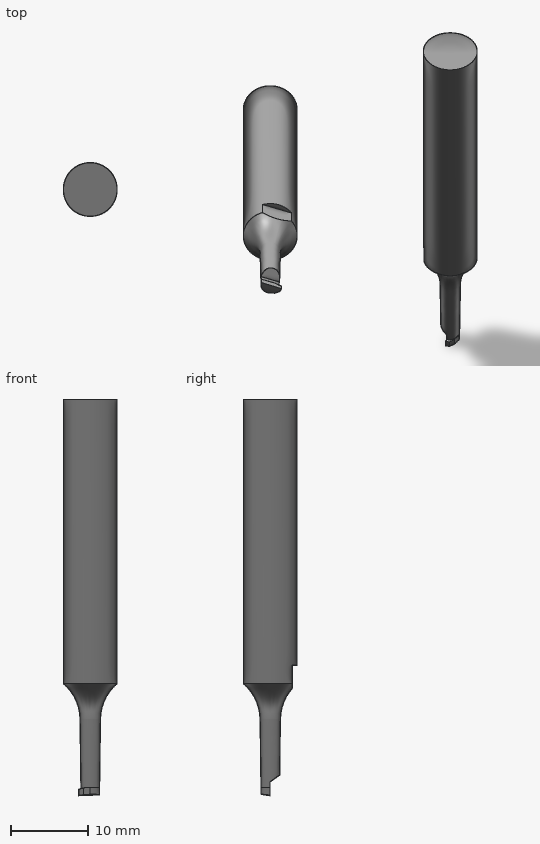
import cadquery as cq
import math

total_length = 51.3
shank_radius = 3.5
shank_bottom = 14.5
flat_offset = 2.85
flat_top = 16.9

neck_top = 9.9
neck_top_radius = 1.35
neck_end_radius = 1.205

relief_bottom = 1.8
relief_top = 2.65

nose_reach = 1.55
tooth_top = 0.8
seat_height = 1.1
seat_break_x = -0.6
flank_side = (-1.45, -0.5)
flank_back = (-0.85, -1.0)
back_relief_angle = 7.0
end_relief_angle = 2.0

over = 2 * shank_radius

shoulder_growth = shank_radius - neck_top_radius
shoulder_rise = shank_bottom - neck_top
shoulder_angle = 2 * math.atan2(shoulder_growth, shoulder_rise)
shoulder_arc_radius = shoulder_rise / math.sin(shoulder_angle)
shoulder_middle = (
    neck_top_radius + shoulder_arc_radius * (1 - math.cos(shoulder_angle / 2)),
    neck_top + shoulder_arc_radius * math.sin(shoulder_angle / 2),
)


def make_seat():
    """Space below the joint between holder and tip."""
    return (
        cq.Workplane("XZ")
        .moveTo(-over, tooth_top)
        .lineTo(-nose_reach, tooth_top)
        .lineTo(seat_break_x, seat_height)
        .lineTo(over, seat_height)
        .lineTo(over, -over)
        .lineTo(-over, -over)
        .close()
        .extrude(over, both=True)
    )


def make_turned_blank():
    """Shank, shoulder and tapered neck as one revolved profile."""
    return (
        cq.Workplane("XZ")
        .lineTo(neck_end_radius, 0)
        .lineTo(neck_top_radius, neck_top)
        .threePointArc(shoulder_middle, (shank_radius, shank_bottom))
        .lineTo(shank_radius, total_length)
        .lineTo(0, total_length)
        .close()
        .revolve(360, (0, 0, 0), (0, 1, 0))
    )


def make_clamping_flat():
    """Material removed beside the flat at the lower end of the shank."""
    return (
        cq.Workplane("XY")
        .box(2 * over, over, flat_top, centered=(True, False, False))
        .translate((0, flat_offset, 0))
    )


def make_chip_relief():
    """Material removed in front of the rake face and along the ramp above it."""
    return (
        cq.Workplane("YZ")
        .lineTo(0, relief_bottom)
        .lineTo(neck_end_radius, relief_top)
        .lineTo(over, relief_top)
        .lineTo(over, 0)
        .close()
        .extrude(over, both=True)
    )


def make_holder():
    return (
        make_turned_blank()
        .cut(make_clamping_flat())
        .cut(make_chip_relief())
        .cut(make_seat())
    )


def make_end_relief():
    """Space below the end face, which rises from the nose towards -Y and +X."""
    return (
        cq.Workplane("XY")
        .box(2 * over, 2 * over, over, centered=(True, True, False))
        .translate((0, 0, -over))
        .rotate((0, 0, 0), (1, 0, 0), -back_relief_angle)
        .rotate((0, 0, 0), (0, 1, 0), -end_relief_angle)
        .translate((-nose_reach, 0, 0))
    )


def make_cutting_tip():
    arc_middle = neck_end_radius * math.sqrt(0.5)
    plan = (
        cq.Workplane("XY")
        .moveTo(-nose_reach, 0)
        .lineTo(*flank_side)
        .lineTo(*flank_back)
        .lineTo(0, -neck_end_radius)
        .threePointArc((arc_middle, -arc_middle), (neck_end_radius, 0))
        .close()
        .extrude(seat_height)
    )
    return plan.intersect(make_seat()).cut(make_end_relief())


holder = make_holder()
cutting_tip = make_cutting_tip()

result = cq.Compound.makeCompound([holder.val(), cutting_tip.val()])